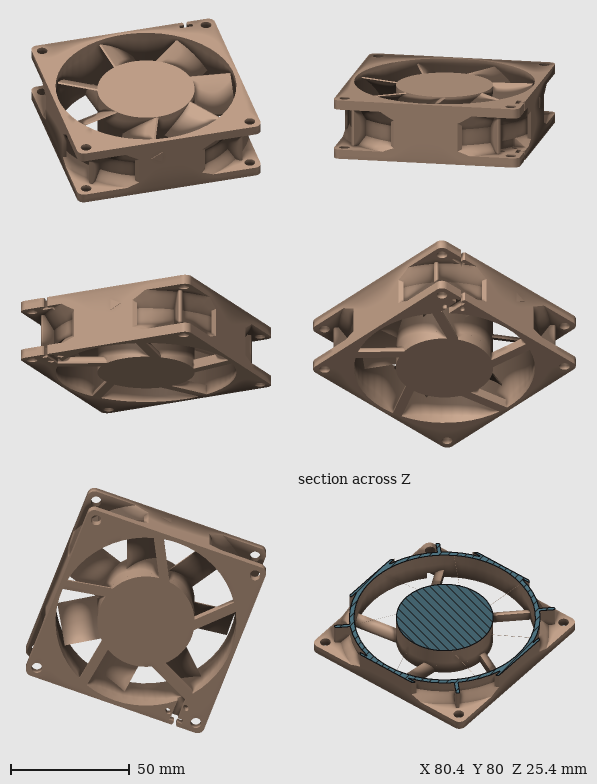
import cadquery as cq
FRAME_SIDE = 80.0
FRAME_HEIGHT = 25.4
FLANGE_THICKNESS = 4.0
CORNER_RADIUS = 3.0
BORE_RADIUS = 38.1
SCREW_SPACING = 71.5
SCREW_HOLE_DIAMETER = 4.5
HALF_SIDE = FRAME_SIDE / 2
TOP_Z = FRAME_HEIGHT / 2
BOTTOM_Z = -TOP_Z
FLANGE_INNER_Z = TOP_Z - FLANGE_THICKNESS
OVERLAP = 0.8

DUCT_RADIUS = 40.3
DUCT_TOP_RADIUS = 44.55
DUCT_BOTTOM_RADIUS = 44.1
DUCT_UPPER_CONE_Z = 2.1
DUCT_LOWER_CONE_Z = -4.9
RECESS_START_OUTER = 13.75
RECESS_START_INNER = 15.3
SIDE_PLATE_THICKNESS = 1.3
BEHIND_PLATE_START = 10.45

RIB_THICKNESS = 1.8
RIB_END_RADIUS = 46.8
RIB_TIP_CHAMFER = 0.5
RIB_ROOT_RADIUS = DUCT_RADIUS - OVERLAP
RIB_ANGLES = [45, 225, 315]
CABLE_RIB_END_RADIUS = 45.7
CABLE_CORNER_ANGLE = 135
CABLE_RIB_SHIFT = 2.5

CLIP_Y = 27.5
CLIP_SLOT_X = -37.2
CLIP_SLOT_WIDTH = 1.8
CLIP_SLOT_LENGTH = 5.7
CLIP_GAP = 1.4
CLIP_MOUTH_WIDTH = 2.4
CLIP_MOUTH_DEPTH = 0.65
CABLE_GROOVE_START_Y = 24.9
CABLE_GROOVE_END_Y = 28.05
CABLE_GROOVE_CEILING_Z = -9.7
CABLE_CLEARANCE_START_Y = 20.75
CABLE_POCKET_ANGLE = 142.4
CABLE_POCKET_WIDTH = 8.85
CABLE_POCKET_FLOOR_RADIUS = 39.3
CABLE_TIE_CENTRES = [(-30.8, 29.4), (-34.8, 22.9)]
CABLE_TIE_LENGTH = 2.8
CABLE_TIE_WIDTH = 1.9

OVERALL_WIDTH = 80.4
MARK_OUTLINE = [(-3.6, 7.1), (-3.6, 2.3), (-8.3, 4.7)]

BASE_HEIGHT = 4.0
BASE_TOP_Z = BOTTOM_Z + BASE_HEIGHT
ARM_COUNT = 5
ARM_FIRST_ANGLE = 44.5
ARM_OFFSET = 10.0
ARM_WIDTH = 4.2
ARM_LOW_HEIGHT = 0.8
ARM_CROWN = (1.0, 2.9)

HUB_RADIUS = 20.5
HUB_TOP_Z = 11.2
BLADE_COUNT = 7
BLADE_FIRST_ANGLE = 83.5
BLADE_TIP_DISTANCE = 36.8
BLADE_ROOT_DISTANCE = 16.1
BLADE_THICKNESS = 1.0
BLADE_LEADING = (-6.75, 11.1)
BLADE_MIDDLE = (1.05, 7.5)
BLADE_TRAILING = (8.5, 0.9)
BLADE_BEVEL_WIDTH = 0.7
BLADE_BEVEL_DROP = 0.3


def box(x0, x1, y0, y1, z0, z1):
    return cq.Workplane("XY").box(x1 - x0, y1 - y0, z1 - z0, centered=False).translate((x0, y0, z0))


def cylinder(radius, z0, z1):
    return cq.Workplane("XY").workplane(offset=z0).circle(radius).extrude(z1 - z0)


def duct():
    """Outside of the duct: a cylinder that flares out to both flanges."""
    profile = [
        (0, -FLANGE_INNER_Z),
        (DUCT_BOTTOM_RADIUS, -FLANGE_INNER_Z),
        (DUCT_RADIUS, DUCT_LOWER_CONE_Z),
        (DUCT_RADIUS, DUCT_UPPER_CONE_Z),
        (DUCT_TOP_RADIUS, FLANGE_INNER_Z),
        (0, FLANGE_INNER_Z),
    ]
    return cq.Workplane("XZ").polyline(profile).close().revolve(360, (0, 0), (0, 1))


def cable_clearance():
    """Stretch below the cable rib where the lower flare of the duct is left off."""
    block = box(
        -HALF_SIDE, -HALF_SIDE / 2, CABLE_CLEARANCE_START_Y, HALF_SIDE,
        -FLANGE_INNER_Z, DUCT_LOWER_CONE_Z,
    )
    block = block.cut(cylinder(DUCT_RADIUS, -FLANGE_INNER_Z, DUCT_LOWER_CONE_Z))
    beyond_rib = box(0, FRAME_SIDE, -FRAME_SIDE, -CABLE_RIB_SHIFT, -FLANGE_INNER_Z, DUCT_LOWER_CONE_Z)
    return block.cut(beyond_rib.rotate((0, 0, 0), (0, 0, 1), CABLE_CORNER_ANGLE))


def cable_pocket():
    """Shallow flat-bottomed pocket in the outside of the duct, below its cylindrical stretch."""
    pocket = box(
        CABLE_POCKET_FLOOR_RADIUS, DUCT_BOTTOM_RADIUS, -CABLE_POCKET_WIDTH / 2, CABLE_POCKET_WIDTH / 2,
        -FLANGE_INNER_Z, DUCT_LOWER_CONE_Z,
    )
    return pocket.rotate((0, 0, 0), (0, 0, 1), CABLE_POCKET_ANGLE)


def cable_tie_holes():
    """Two small slots through the lower flange, both pointing toward the corner."""
    holes = cq.Workplane("XY")
    for x, y in CABLE_TIE_CENTRES:
        hole = (
            cq.Workplane("XY")
            .workplane(offset=BOTTOM_Z)
            .center(x, y)
            .slot2D(CABLE_TIE_LENGTH, CABLE_TIE_WIDTH, CABLE_CORNER_ANGLE)
            .extrude(FLANGE_THICKNESS)
        )
        holes = holes.add(hole)
    return holes.combine()


def cable_groove():
    """Groove under the lower flange from the clip slot into the bore."""
    return box(
        CLIP_SLOT_X, -HALF_SIDE / 2, CABLE_GROOVE_START_Y, CABLE_GROOVE_END_Y,
        BOTTOM_Z, CABLE_GROOVE_CEILING_Z,
    )


def recess_prism():
    """Full-height corner block of the recess in the +X +Y corner, with slanted end walls."""
    inner = HALF_SIDE - SIDE_PLATE_THICKNESS
    outer = HALF_SIDE + OVERLAP
    outline = [
        (RECESS_START_INNER, inner),
        (RECESS_START_OUTER, HALF_SIDE),
        (RECESS_START_OUTER, outer),
        (outer, outer),
        (outer, RECESS_START_OUTER),
        (HALF_SIDE, RECESS_START_OUTER),
        (inner, RECESS_START_INNER),
        (inner, BEHIND_PLATE_START),
        (BEHIND_PLATE_START, BEHIND_PLATE_START),
        (BEHIND_PLATE_START, inner),
    ]
    prism = cq.Workplane("XY").workplane(offset=-FLANGE_INNER_Z).polyline(outline).close()
    return prism.extrude(2 * FLANGE_INNER_Z)


def corner_rib(angle, end_radius, shift):
    """Upright rib with a chamfered end, from the duct toward a screw hole, moved sideways by shift."""
    length = end_radius - RIB_ROOT_RADIUS
    rib = cq.Workplane("XY").box(length, RIB_THICKNESS, 2 * FLANGE_INNER_Z)
    rib = rib.edges("|Z and >X").chamfer(RIB_TIP_CHAMFER)
    return rib.translate((RIB_ROOT_RADIUS + length / 2, shift, 0)).rotate((0, 0, 0), (0, 0, 1), angle)


def screw_holes():
    corners = cq.Workplane("XY").workplane(offset=BOTTOM_Z)
    corners = corners.rect(SCREW_SPACING, SCREW_SPACING, forConstruction=True).vertices()
    return corners.circle(SCREW_HOLE_DIAMETER / 2).extrude(FRAME_HEIGHT)


def cable_clip():
    """Slot along the -X edge that opens outward through a narrow, funnelled gap."""
    slot = box(
        CLIP_SLOT_X - CLIP_SLOT_WIDTH / 2, CLIP_SLOT_X + CLIP_SLOT_WIDTH / 2,
        CLIP_Y - CLIP_SLOT_LENGTH / 2, CLIP_Y + CLIP_SLOT_LENGTH / 2, BOTTOM_Z, TOP_Z,
    )
    gap_outline = [
        (-HALF_SIDE, CLIP_MOUTH_WIDTH / 2),
        (-HALF_SIDE + CLIP_MOUTH_DEPTH, CLIP_GAP / 2),
        (CLIP_SLOT_X, CLIP_GAP / 2),
        (CLIP_SLOT_X, -CLIP_GAP / 2),
        (-HALF_SIDE + CLIP_MOUTH_DEPTH, -CLIP_GAP / 2),
        (-HALF_SIDE, -CLIP_MOUTH_WIDTH / 2),
    ]
    gap = cq.Workplane("XY").workplane(offset=BOTTOM_Z).polyline(gap_outline).close().extrude(FRAME_HEIGHT)
    return slot.union(gap.translate((0, CLIP_Y, 0)))


def arms():
    """Motor base disc with arms that run past the axis out to the duct, rounded off on one side."""
    profile = (
        cq.Workplane("YZ")
        .moveTo(-ARM_WIDTH / 2, 0)
        .lineTo(-ARM_WIDTH / 2, BASE_HEIGHT)
        .threePointArc(ARM_CROWN, (ARM_WIDTH / 2, ARM_LOW_HEIGHT))
        .lineTo(ARM_WIDTH / 2, 0)
        .close()
    )
    arm = profile.extrude(DUCT_RADIUS).translate((0, ARM_OFFSET, BOTTOM_Z))
    arm = arm.intersect(cylinder(BORE_RADIUS + OVERLAP, BOTTOM_Z, TOP_Z))
    spider = cylinder(HUB_RADIUS, BOTTOM_Z, BASE_TOP_Z)
    for i in range(ARM_COUNT):
        spider = spider.union(arm.rotate((0, 0, 0), (0, 0, 1), ARM_FIRST_ANGLE + i * 360 / ARM_COUNT))
    return spider


def side_marks():
    """Triangular plates, one on each X side."""
    height = (OVERALL_WIDTH - FRAME_SIDE) / 2
    mark = cq.Workplane("YZ").workplane(offset=HALF_SIDE).polyline(MARK_OUTLINE).close().extrude(height)
    return [mark, mark.mirror("YZ")]


def make_housing():
    """Frame with its corner recesses, ribs, holes, cable details, motor base and arms."""
    body = cq.Workplane("XY").box(FRAME_SIDE, FRAME_SIDE, FRAME_HEIGHT).edges("|Z").fillet(CORNER_RADIUS)
    duct_outside = duct().cut(cable_clearance())
    for i in range(4):
        body = body.cut(recess_prism().rotate((0, 0, 0), (0, 0, 1), 90 * i).cut(duct_outside))
    for angle in RIB_ANGLES:
        body = body.union(corner_rib(angle, RIB_END_RADIUS, 0))
    body = body.union(corner_rib(CABLE_CORNER_ANGLE, CABLE_RIB_END_RADIUS, -CABLE_RIB_SHIFT))
    body = body.cut(screw_holes())
    body = body.cut(cable_clip())
    body = body.cut(cylinder(BORE_RADIUS, BOTTOM_Z, TOP_Z))
    body = body.cut(cable_pocket()).cut(cable_tie_holes()).cut(cable_groove())
    for mark in side_marks():
        body = body.union(mark)
    return body.union(arms())


def blade():
    """Cambered blade that runs along +X; its chord coordinate grows toward -Y."""
    lead_c, lead_z = BLADE_LEADING
    mid_c, mid_z = BLADE_MIDDLE
    trail_c, trail_z = BLADE_TRAILING
    profile = (
        cq.Workplane("YZ")
        .moveTo(-lead_c - BLADE_BEVEL_WIDTH, lead_z)
        .threePointArc((-mid_c, mid_z), (-trail_c, trail_z))
        .lineTo(-trail_c, trail_z - BLADE_THICKNESS)
        .threePointArc((-mid_c, mid_z - BLADE_THICKNESS), (-lead_c, lead_z - BLADE_BEVEL_DROP))
        .close()
    )
    span = BLADE_TIP_DISTANCE - BLADE_ROOT_DISTANCE
    return profile.extrude(span).translate((BLADE_ROOT_DISTANCE, 0, 0))


def make_rotor():
    """Closed hub with its ring of blades, resting on the motor base."""
    rotor = cylinder(HUB_RADIUS, BASE_TOP_Z, HUB_TOP_Z)
    for i in range(BLADE_COUNT):
        rotor = rotor.union(blade().rotate((0, 0, 0), (0, 0, 1), BLADE_FIRST_ANGLE + i * 360 / BLADE_COUNT))
    return rotor


housing = make_housing()
rotor = make_rotor()
result = cq.Compound.makeCompound([housing.val(), rotor.val()])